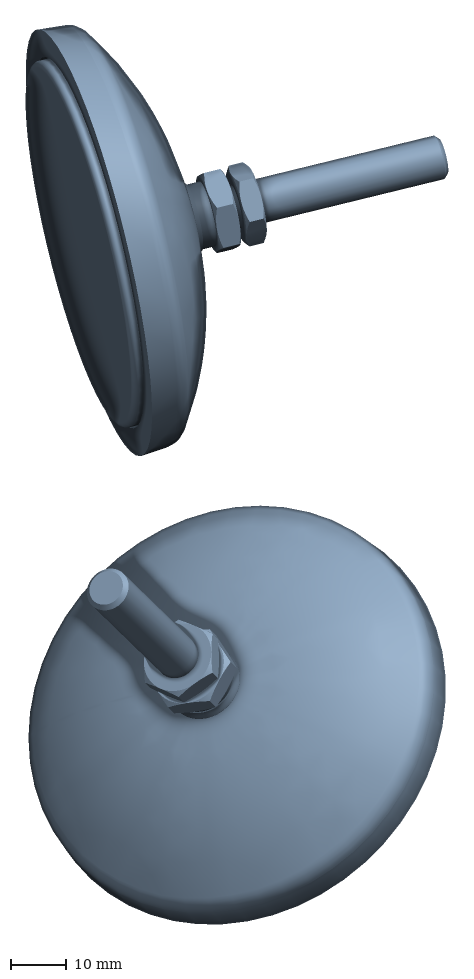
import cadquery as cq
import math


pad_radius = 34.0
pad_edge_fillet = 1.0
recess_depth = 2.0

foot_radius = 39.5
foot_bottom = 2.0
rim_top = 6.9
rim_top_radius = 39.1
dome_edge_height = 9.6
dome_edge_radius = 37.4
dome_top = 20.3
crown_radius = 4.0
recess_radius = 34.4
collar_seat = 21.6
boss_bottom_radius = 6.9
boss_top_radius = 6.25

thread_radius = 4.0
stud_top = 68.5
stud_tip_chamfer = 0.8
collar_radius = 6.0
stud_hex_flats = 14.0
stud_hex_bottom = 24.2
stud_hex_top = 28.45
neck_radius = 3.55

nut_flats = 13.0
nut_bottom = 29.6
nut_top = 33.4
neck_height = (stud_hex_top + nut_bottom) / 2

hex_chamfer_angle = math.radians(30)


def revolve_about_y(profile):
    """Turn a closed profile of (radius, y) points round the Y axis."""
    return profile.close().revolve(360, (0, 0, 0), (0, 1, 0))


def cylinder(radius, bottom, top):
    return cq.Workplane("XZ", origin=(0, bottom, 0)).circle(radius).extrude(bottom - top)


def chamfered_hexagon(flats, bottom, top, turn):
    """Hexagonal prism with conically chamfered corners; turn = 0 puts corners on X."""
    corner_radius = flats / math.sqrt(3)
    face_radius = flats / 2
    chamfer_height = (corner_radius - face_radius) * math.tan(hex_chamfer_angle)
    prism = (
        cq.Workplane("XZ", origin=(0, bottom, 0))
        .polygon(6, 2 * corner_radius)
        .extrude(bottom - top)
        .rotate((0, 0, 0), (0, 1, 0), turn)
    )
    corner_envelope = revolve_about_y(
        cq.Workplane("XY")
        .moveTo(0, bottom)
        .lineTo(face_radius, bottom)
        .lineTo(corner_radius, bottom + chamfer_height)
        .lineTo(corner_radius, top - chamfer_height)
        .lineTo(face_radius, top)
        .lineTo(0, top)
    )
    return prism.intersect(corner_envelope)


def make_pad():
    pad = cylinder(pad_radius, 0, foot_bottom + recess_depth)
    return pad.faces("<Y").edges().fillet(pad_edge_fillet)


def make_foot():
    dome_drop = dome_top - dome_edge_height
    dome_span = dome_edge_radius - crown_radius
    arc_radius = (dome_span**2 + dome_drop**2) / (2 * dome_drop)
    half_angle = math.asin(dome_span / arc_radius) / 2
    dome_middle = (
        crown_radius + arc_radius * math.sin(half_angle),
        dome_top - arc_radius * (1 - math.cos(half_angle)),
    )
    body = revolve_about_y(
        cq.Workplane("XY")
        .moveTo(0, foot_bottom)
        .lineTo(foot_radius, foot_bottom)
        .lineTo(rim_top_radius, rim_top)
        .tangentArcPoint((dome_edge_radius, dome_edge_height), relative=False)
        .threePointArc(dome_middle, (crown_radius, dome_top))
        .lineTo(0, dome_top)
    )
    boss = revolve_about_y(
        cq.Workplane("XY")
        .moveTo(0, dome_edge_height)
        .lineTo(boss_bottom_radius, dome_edge_height)
        .lineTo(boss_bottom_radius, dome_top)
        .lineTo(boss_top_radius, collar_seat)
        .lineTo(0, collar_seat)
    )
    pad_recess = cylinder(recess_radius, foot_bottom, foot_bottom + recess_depth)
    return body.union(boss).cut(pad_recess)


def make_stud():
    collar = cylinder(collar_radius, collar_seat, stud_hex_bottom)
    hexagon = chamfered_hexagon(stud_hex_flats, stud_hex_bottom, stud_hex_top, 0)
    shank = revolve_about_y(
        cq.Workplane("XY")
        .moveTo(0, stud_hex_top)
        .lineTo(thread_radius, stud_hex_top)
        .lineTo(neck_radius, neck_height)
        .lineTo(thread_radius, nut_bottom)
        .lineTo(thread_radius, stud_top - stud_tip_chamfer)
        .lineTo(thread_radius - stud_tip_chamfer, stud_top)
        .lineTo(0, stud_top)
    )
    return collar.union(hexagon).union(shank)


def make_locknut():
    hexagon = chamfered_hexagon(nut_flats, nut_bottom, nut_top, 30)
    return hexagon.cut(cylinder(thread_radius, nut_bottom, nut_top))


pad = make_pad()
foot = make_foot()
stud = make_stud()
locknut = make_locknut()

result = cq.Compound.makeCompound([pad.val(), foot.val(), stud.val(), locknut.val()])